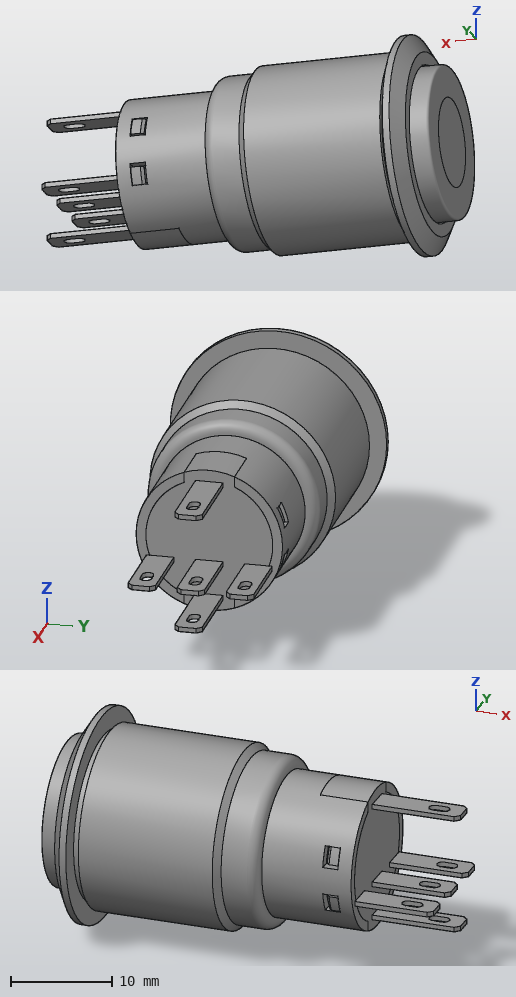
import cadquery as cq

TOTAL_LENGTH = 41.6
OVERSIZE = 2.1

FLANGE_FRONT = 1.95
FLANGE_RIM_FRONT = 3.08
FLANGE_BACK = 3.8
BARREL_FRONT = 4.55
BARREL_BACK = 19.3
SHOULDER_BACK = 23.1
SLEEVE_BACK = 32.5

FLANGE_FACE_DIA = 18.4
FLANGE_DIA = 22.0
BARREL_DIA = 18.9
SHOULDER_DIA = 17.5
SLEEVE_DIA = 14.9
SHOULDER_FILLET = 1.05

BUTTON_DIA = 15.5
BUTTON_BORE_DIA = 15.8
BUTTON_BACK = 8.3
BUTTON_FILLET = 0.25
LENS_DIA = 9.0
LENS_DEPTH = 1.0

PLUG_DIA = 12.9
PLUG_FRONT = SHOULDER_BACK
TAB_WIDTH = 5.1
TAB_FRONT = 27.45
HOOK_DIA = 14.55
WINDOW_FRONT = 29.45
WINDOW_BACK = 31.05
WINDOW_HEIGHT = 2.05
WINDOW_OFFSET = 2.45
WINDOW_INNER_Z = WINDOW_OFFSET - WINDOW_HEIGHT / 2
WINDOW_OUTER_Z = WINDOW_OFFSET + WINDOW_HEIGHT / 2
HOOK_FRONT = 29.75
HOOK_RAMP = 0.3
HOOK_INNER_GAP = 0.3

TERMINAL_WIDTH = 2.8
TERMINAL_THICKNESS = 0.5
TERMINAL_CHAMFER = 0.5
SLOT_LENGTH = 2.12
SLOT_WIDTH = 1.12
SLOT_SETBACK = 1.5
ROW_TERMINAL_TIP = 40.6
SIDE_TERMINAL_Y = 5.0
ROW_TERMINAL_Z = -2.4
END_TERMINAL_Z = 6.0

TERMINALS = [
    (0, END_TERMINAL_Z, TOTAL_LENGTH),
    (0, -END_TERMINAL_Z, TOTAL_LENGTH),
    (SIDE_TERMINAL_Y, ROW_TERMINAL_Z, ROW_TERMINAL_TIP),
    (0, ROW_TERMINAL_Z, ROW_TERMINAL_TIP),
    (-SIDE_TERMINAL_Y, ROW_TERMINAL_Z, ROW_TERMINAL_TIP),
]


def cylinder(diameter, front, back):
    """A cylinder on the X axis from front to back."""
    return cq.Workplane("YZ").workplane(offset=front).circle(diameter / 2).extrude(back - front)


def block(x_range, y_range, z_range):
    """A box between two positions along each axis."""
    sizes = [high - low for low, high in (x_range, y_range, z_range)]
    corner = (x_range[0], y_range[0], z_range[0])
    return cq.Workplane("XY").box(*sizes, centered=False).translate(corner)


def tabs():
    """The pieces of sleeve wall, at the top and the bottom, that belong to the base."""
    half = TAB_WIDTH / 2
    reach = SLEEVE_DIA / 2
    strip = block((TAB_FRONT, SLEEVE_BACK), (-half, half), (-reach, reach))
    wall = cylinder(SLEEVE_DIA, TAB_FRONT, SLEEVE_BACK).cut(cylinder(PLUG_DIA, TAB_FRONT, SLEEVE_BACK))
    return wall.intersect(strip)


def window_blocks(front, inner_z, outer_z):
    """Two bars along Y, above and below the axis plane, that span the windows on both sides."""
    reach = SLEEVE_DIA / 2 + OVERSIZE
    upper = block((front, WINDOW_BACK), (-reach, reach), (inner_z, outer_z))
    return upper.union(upper.mirror("XY"))


def make_housing():
    barrel_chamfer = (BARREL_DIA - SHOULDER_DIA) / 2
    profile = [
        (FLANGE_FRONT, 0),
        (FLANGE_FRONT, FLANGE_FACE_DIA / 2),
        (FLANGE_RIM_FRONT, FLANGE_DIA / 2),
        (FLANGE_BACK, FLANGE_DIA / 2),
        (FLANGE_BACK, SHOULDER_DIA / 2),
        (BARREL_FRONT, SHOULDER_DIA / 2),
        (BARREL_FRONT, BARREL_DIA / 2),
        (BARREL_BACK - barrel_chamfer, BARREL_DIA / 2),
        (BARREL_BACK, SHOULDER_DIA / 2),
    ]
    fillet_start = (SHOULDER_BACK - SHOULDER_FILLET, SHOULDER_DIA / 2)
    fillet_end = (SHOULDER_BACK, SHOULDER_DIA / 2 - SHOULDER_FILLET)
    outline = (
        cq.Workplane("XY")
        .polyline(profile)
        .lineTo(*fillet_start)
        .radiusArc(fillet_end, SHOULDER_FILLET)
        .lineTo(SHOULDER_BACK, SLEEVE_DIA / 2)
        .lineTo(SLEEVE_BACK, SLEEVE_DIA / 2)
        .lineTo(SLEEVE_BACK, 0)
        .close()
    )
    body = outline.revolve(360, (0, 0, 0), (1, 0, 0))
    button_bore = cylinder(BUTTON_BORE_DIA, FLANGE_FRONT, BUTTON_BACK)
    plug_bore = cylinder(PLUG_DIA, PLUG_FRONT, SLEEVE_BACK)
    windows = window_blocks(WINDOW_FRONT, WINDOW_INNER_Z, WINDOW_OUTER_Z)
    windows = windows.cut(cylinder(PLUG_DIA, WINDOW_FRONT, WINDOW_BACK))
    return body.cut(button_bore).cut(plug_bore).cut(tabs()).cut(windows)


def make_button():
    body = cylinder(BUTTON_DIA, 0, BUTTON_BACK).faces("<X").edges().fillet(BUTTON_FILLET)
    return body.cut(cylinder(LENS_DIA, 0, LENS_DEPTH))


def make_lens():
    return cylinder(LENS_DIA, 0, LENS_DEPTH)


def hooks():
    """Four latch hooks with a sloped front that stand in the windows, below the sleeve surface."""
    bars = window_blocks(HOOK_FRONT, WINDOW_INNER_Z + HOOK_INNER_GAP, WINDOW_OUTER_Z)
    disc = cylinder(HOOK_DIA, HOOK_FRONT, WINDOW_BACK).faces("<X").edges().chamfer(HOOK_RAMP)
    ring = disc.cut(cylinder(PLUG_DIA, HOOK_FRONT, WINDOW_BACK))
    return ring.intersect(bars)


def terminal(y, z, tip):
    """A flat blade with a chamfered tip and a solder slot."""
    half_width = TERMINAL_WIDTH / 2
    half_thickness = TERMINAL_THICKNESS / 2
    blade = block(
        (SLEEVE_BACK, tip),
        (y - half_width, y + half_width),
        (z - half_thickness, z + half_thickness),
    )
    slot_middle = tip - SLOT_SETBACK - SLOT_LENGTH / 2
    blade = blade.faces(">X").edges("|Z").chamfer(TERMINAL_CHAMFER)
    slot = (
        cq.Workplane("XY", origin=(slot_middle, y, z))
        .slot2D(SLOT_LENGTH, SLOT_WIDTH)
        .extrude(half_thickness, both=True)
    )
    return blade.cut(slot)


def make_base():
    base = cylinder(PLUG_DIA, PLUG_FRONT, SLEEVE_BACK).union(tabs()).union(hooks())
    for y, z, tip in TERMINALS:
        base = base.union(terminal(y, z, tip))
    return base


housing = make_housing()
button = make_button()
lens = make_lens()
base = make_base()

result = cq.Compound.makeCompound([housing.val(), button.val(), lens.val(), base.val()])